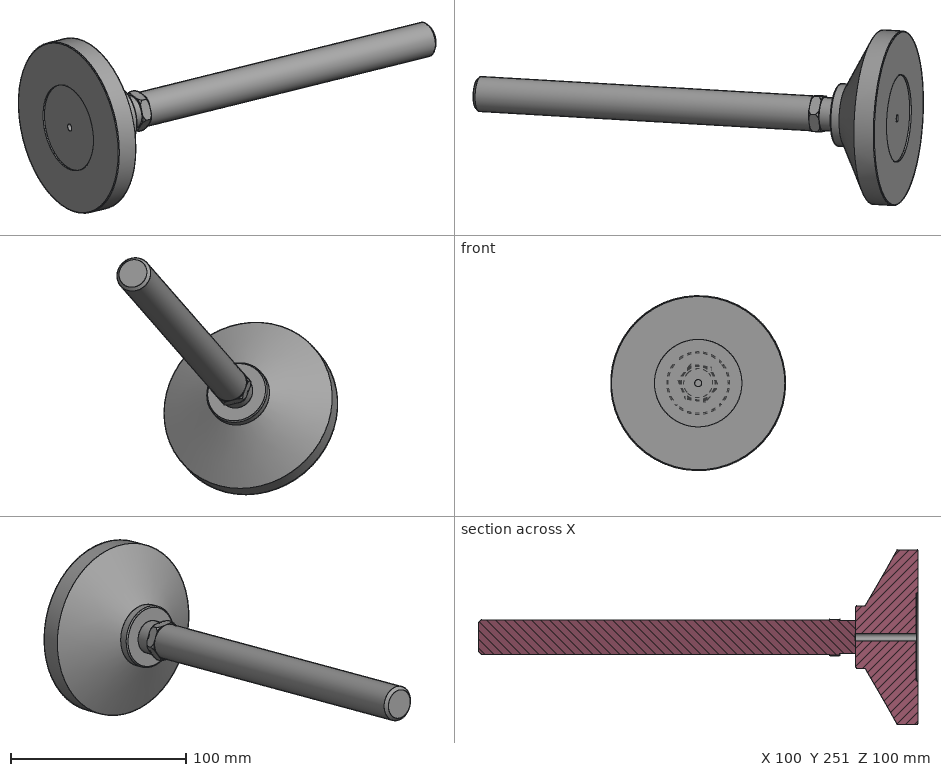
import cadquery as cq

overall_length = 251.0

foot_diameter = 100.0
rim_height = 12.0
cone_top = 30.5
collar_top = 36.0
collar_diameter = 36.0
collar_chamfer = 0.8
base_chamfer = 0.5
recess_diameter = foot_diameter / 2
recess_depth = 1.0
centre_hole_diameter = 4.0

rod_diameter = 20.0
rod_end_chamfer = 1.8
neck_diameter = 19.0
hex_bottom = 44.7
hex_top = 50.7
hex_across_corners = 23.3
hex_turn = -9.0
hex_end_diameter = 21.3
hex_chamfer_height = 1.5


def section_plane(y):
    """Plane across the axis at height y, with +X right and +Z up."""
    return cq.Workplane("XZ", origin=(0, y, 0))


def cylinder(diameter, bottom, top):
    """Cylinder on the axis from bottom to top."""
    return section_plane(bottom).circle(diameter / 2).extrude(bottom - top)


def revolve_profile(points):
    """Revolve a closed (radius, height) outline about the Y axis."""
    return cq.Workplane("XY").polyline(points).close().revolve(360, (0, 0, 0), (0, 1, 0))


def make_foot():
    """Conical foot with a collar, a shallow base recess and a central hole."""
    body = revolve_profile([
        (0, 0),
        (foot_diameter / 2 - base_chamfer, 0),
        (foot_diameter / 2, base_chamfer),
        (foot_diameter / 2, rim_height),
        (collar_diameter / 2, cone_top),
        (collar_diameter / 2, collar_top - collar_chamfer),
        (collar_diameter / 2 - collar_chamfer, collar_top),
        (0, collar_top),
    ])
    recess = cylinder(recess_diameter, 0, recess_depth)
    centre_hole = cylinder(centre_hole_diameter, 0, collar_top)
    return body.cut(recess).cut(centre_hole)


def make_hexagon():
    """Wrench hexagon with its corners chamfered at both ends."""
    prism = (
        section_plane(hex_bottom)
        .transformed(rotate=(0, 0, hex_turn))
        .polygon(6, hex_across_corners)
        .extrude(hex_bottom - hex_top)
    )
    corner_radius = hex_across_corners / 2
    end_radius = hex_end_diameter / 2
    chamfer_envelope = revolve_profile([
        (0, hex_bottom),
        (end_radius, hex_bottom),
        (corner_radius, hex_bottom + hex_chamfer_height),
        (corner_radius, hex_top - hex_chamfer_height),
        (end_radius, hex_top),
        (0, hex_top),
    ])
    return prism.intersect(chamfer_envelope)


def make_stud():
    """Neck standing on the collar, wrench hexagon and long plain rod."""
    neck = cylinder(neck_diameter, collar_top, hex_bottom)
    rod = cylinder(rod_diameter, hex_top, overall_length).faces(">Y").chamfer(rod_end_chamfer)
    return neck.union(make_hexagon()).union(rod)


foot = make_foot()
stud = make_stud()
result = cq.Compound.makeCompound([foot.val(), stud.val()])